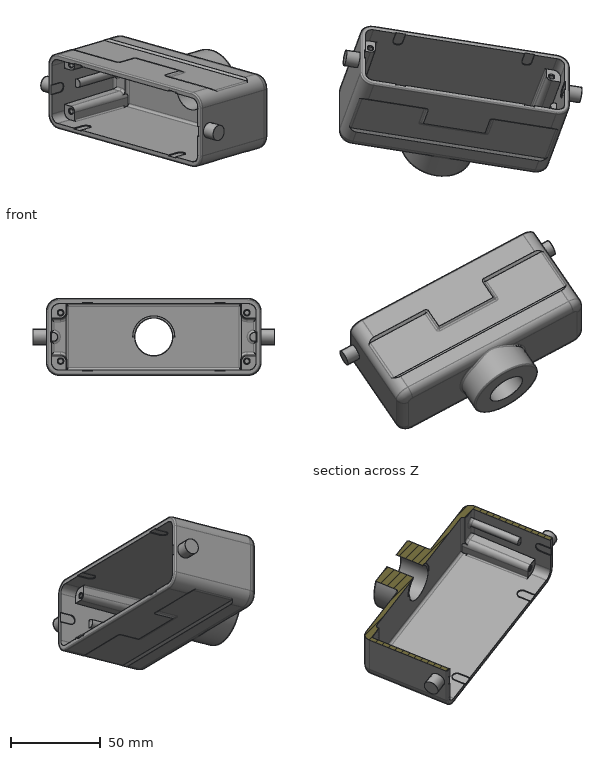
import cadquery as cq
import math

shell_width = 119.9
shell_height = 43.0
shell_depth = 55.0
shell_corner_radius = 7.5
back_edge_radius = 5.0
rim_radius = 0.8

side_wall = 2.8
flat_wall = 3.0
back_wall = 3.0
cavity_corner_radius = 4.5
cavity_width = shell_width - 2 * side_wall
cavity_height = shell_height - 2 * flat_wall
well_floor = shell_depth - back_wall
shelf_height = 2.0
shelf_floor = well_floor - shelf_height
floor_fillet = 1.5
post_foot_fillet = 0.8

post_front = 9.9
post_radius = 3.0
post_draft = 0.9
screw_x = 52.0
screw_z = 13.5
screw_diameter = 2.7
screw_mouth_diameter = 3.6
screw_depth = 10.8
well_width = 2 * (screw_x - post_radius)

rib_radius = 2.4
rib_front = 18.9
rib_x = 56.0

slot_width = 5.5
slot_length = 9.5
slot_depth = 0.5
slot_x = 37.0

entry_diameter = 41.0
entry_end = 69.5
entry_edge_radius = 0.8
entry_root_fillet = 1.0
entry_bore = 21.0
entry_step_diameter = 23.5
entry_step_depth = 0.4

overall_length = 135.0
pin_diameter = 8.8
pin_y = 6.1

panel_depth = 1.1
panel_slope_run = 1.6
panel_front = 14.7
panel_back = 40.4
tongue_half_width = 19.3
tongue_back = 27.7
tongue_corner_radius = 0.8
panel_end_fillet = 2.2

tolerance = 0.01
sides = (-1, 1)


def along_depth(start, end):
    """Sketch at y = start (local x is -X, local y is Z) and the length to extrude to reach y = end."""
    plane = cq.Plane((0, start, 0), (-1, 0, 0), (0, 1, 0))
    return cq.Workplane(plane), end - start


def box_along_depth(start, end, width, height, x=0, z=0):
    sketch, length = along_depth(start, end)
    return sketch.center(-x, z).rect(width, height).extrude(length)


def cylinder_along_depth(start, end, diameter, x=0, z=0):
    sketch, length = along_depth(start, end)
    return sketch.center(-x, z).circle(diameter / 2).extrude(length)


def is_entry_root(edge):
    """True for a curved edge where the cable entry meets the rounded back of the shell."""
    ends = (edge.startPoint(), edge.endPoint())
    on_entry = all(abs(math.hypot(p.x, p.z) - entry_diameter / 2) < tolerance for p in ends)
    return on_entry and edge.Center().y < shell_depth + tolerance and edge.geomType() != "LINE"


def make_shell():
    shell = box_along_depth(0, shell_depth, shell_width, shell_height)
    shell = shell.edges("|Y").fillet(shell_corner_radius)
    shell = shell.faces(">Y").edges().fillet(back_edge_radius)
    shell = shell.union(cylinder_along_depth(well_floor, entry_end, entry_diameter))
    shell = shell.faces(">Y").edges().fillet(entry_edge_radius)
    root = [edge for edge in shell.edges().vals() if is_entry_root(edge)]
    shell = shell.newObject(root).fillet(entry_root_fillet)
    return shell.faces("<Y").edges().fillet(rim_radius)


def make_panel_cut():
    """Cutter for the upper panel: widens from its floor to the face and runs past both ends."""
    end = shell_width / 2 + panel_slope_run
    slope_angle = math.degrees(math.atan(panel_slope_run / panel_depth))
    outline = [
        (-end, panel_front),
        (-tongue_half_width, panel_front),
        (-tongue_half_width, tongue_back),
        (tongue_half_width, tongue_back),
        (tongue_half_width, panel_front),
        (end, panel_front),
        (end, panel_back),
        (-end, panel_back),
    ]
    sketch = cq.Workplane("XY").workplane(offset=shell_height / 2 - panel_depth).polyline(outline).close()
    cutter = sketch.extrude(panel_depth, taper=-slope_angle)
    tongue_corners = [
        edge for edge in cutter.edges().vals()
        if abs(edge.Center().x) < tongue_half_width + panel_slope_run
        and abs(edge.startPoint().z - edge.endPoint().z) > tolerance
    ]
    return cutter.newObject(tongue_corners).fillet(tongue_corner_radius)


def round_panel_ends(body):
    """Ease the edges where the panel floors run out through the rounded shell corners."""
    floor_z = shell_height / 2 - panel_depth
    ends = [
        edge for edge in body.edges("|Y").vals()
        if abs(abs(edge.Center().z) - floor_z) < tolerance
    ]
    return body.newObject(ends).fillet(panel_end_fillet)


def make_post(side_x, side_z):
    """Corner post that thickens toward the well floor; its outer sides sink into the walls."""
    width = (cavity_width - well_width) / 2
    height = cavity_height / 2 - screw_z + post_radius
    x = side_x * (well_width + width) / 2
    z = side_z * (cavity_height - height) / 2
    profile = cq.Sketch().rect(width, height)
    inner_x = ">X" if side_x > 0 else "<X"
    inner_z = "<Y" if side_z > 0 else ">Y"
    profile = profile.vertices(inner_x).vertices(inner_z).fillet(post_radius)
    sketch, length = along_depth(post_front, well_floor)
    return sketch.center(-x, z).placeSketch(profile).extrude(length, taper=-post_draft)


def is_post_foot(edge):
    """True for an edge running back along a post where its inner side meets a flat wall."""
    ends = (edge.startPoint(), edge.endPoint())
    on_flat_wall = all(abs(abs(p.z) - cavity_height / 2) < tolerance for p in ends)
    runs_back = abs(ends[0].y - ends[1].y) > shelf_floor / 2
    return on_flat_wall and runs_back and abs(ends[0].x) < screw_x and min(ends[0].y, ends[1].y) > tolerance


def make_cavity():
    cavity = box_along_depth(0, shelf_floor, cavity_width, cavity_height)
    cavity = cavity.edges("|Y").fillet(cavity_corner_radius)
    posts = [make_post(side_x, side_z) for side_x in sides for side_z in sides]
    for post in posts:
        cavity = cavity.cut(post)
    feet = [edge for edge in cavity.edges().vals() if is_post_foot(edge)]
    cavity = cavity.newObject(feet).fillet(post_foot_fillet)
    for side_x in sides:
        cavity = cavity.cut(cylinder_along_depth(rib_front, shelf_floor, 2 * rib_radius, side_x * rib_x))
    cavity = cavity.faces(">Y").edges().fillet(floor_fillet)

    well = box_along_depth(shelf_floor - floor_fillet, well_floor, well_width, cavity_height)
    well = well.faces(">Y").edges().fillet(floor_fillet)
    cavity = cavity.union(well)
    for post in posts:
        cavity = cavity.cut(post)
    return cavity


def make_screw_hole(x, z):
    hole = cylinder_along_depth(post_front, post_front + screw_depth, screw_diameter, x, z)
    lead_in = (screw_mouth_diameter - screw_diameter) / 2
    sketch, length = along_depth(post_front, post_front + lead_in)
    mouth = sketch.center(-x, z).circle(screw_mouth_diameter / 2).extrude(length, taper=45)
    return hole.union(mouth)


def make_slot_pair(wall_span):
    """Round-ended slot running along Y from the mouth, sunk into both walls wall_span apart in Z."""
    reach = wall_span / 2 + slot_depth
    slot = cq.Workplane("XY").slot2D(2 * slot_length, slot_width, 90)
    return slot.extrude(reach, both=True)


def make_slots():
    flat_slot = make_slot_pair(cavity_height)
    slots = make_slot_pair(cavity_width).rotate((0, 0, 0), (0, 1, 0), 90)
    for side_x in sides:
        slots = slots.union(flat_slot.translate((side_x * slot_x, 0, 0)))
    return slots


def make_pins():
    root = cavity_width / 2 + slot_depth
    pin = cq.Workplane("YZ").workplane(offset=root).center(pin_y, 0).circle(pin_diameter / 2)
    pin = pin.extrude(overall_length / 2 - root)
    return pin.union(pin.mirror("YZ"))


def make_entry_bore():
    """Bore through the cable entry with a shallow half-round step on its upper inner rim."""
    bore = cylinder_along_depth(shelf_floor, entry_end, entry_bore)
    step_back = well_floor + entry_step_depth
    step = cylinder_along_depth(well_floor, step_back, entry_step_diameter)
    half_height = entry_step_diameter / 2
    upper_half = box_along_depth(well_floor, step_back, entry_step_diameter, half_height, z=half_height / 2)
    return bore.union(step.intersect(upper_half))


panel_cut = make_panel_cut()
result = make_shell().cut(panel_cut).cut(panel_cut.mirror("XY"))
result = round_panel_ends(result)
result = result.union(make_pins())
result = result.cut(make_cavity()).cut(make_slots()).cut(make_entry_bore())
for side_x in sides:
    for side_z in sides:
        result = result.cut(make_screw_hole(side_x * screw_x, side_z * screw_z))